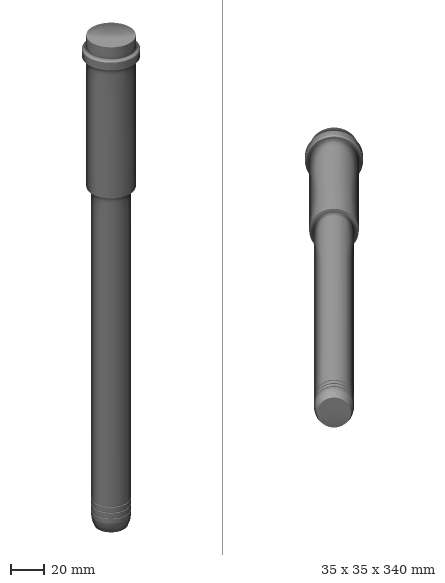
import cadquery as cq

total_length = 340.0
pin_diameter = 24.0
sleeve_diameter = 30.0
sleeve_length = 105.0
collar_diameter = 35.0
collar_offset = 8.5
collar_thickness = 6.8
collar_chamfer = 0.7
corner_fillet = 0.5
tip_diameter = 20.5
tip_height = 7.0
tip_arc_radius = 15.0
groove_width = 1.0
groove_depth = 0.5
groove_pitch = 4.0
groove_count = 3
lowest_groove_height = 10.2
edge_margin = 0.17


def cylinder(diameter, bottom, height):
    return cq.Workplane("XY").workplane(offset=bottom).circle(diameter / 2).extrude(height)


def rounded_pin():
    """Plain pin whose lower end curves in to a smaller flat face."""
    radius = pin_diameter / 2
    return (
        cq.Workplane("XZ")
        .lineTo(tip_diameter / 2, 0)
        .radiusArc((radius, tip_height), -tip_arc_radius)
        .lineTo(radius, total_length)
        .lineTo(0, total_length)
        .close()
        .revolve(360, (0, 0), (0, 1))
    )


def groove(bottom):
    """Ring of material to remove from the pin."""
    ring = cylinder(pin_diameter + groove_depth, bottom, groove_width)
    return ring.cut(cylinder(pin_diameter - 2 * groove_depth, bottom, groove_width))


def step_corner(diameter, height):
    """Select the circular edge of the given diameter at the given height."""
    reach = diameter / 2 + edge_margin
    low = (-reach, -reach, height - edge_margin)
    high = (reach, reach, height + edge_margin)
    return cq.selectors.BoxSelector(low, high, boundingbox=True)


sleeve_bottom = total_length - sleeve_length
collar_top = total_length - collar_offset
collar_bottom = collar_top - collar_thickness

sleeve = cylinder(sleeve_diameter, sleeve_bottom, sleeve_length)
collar = cylinder(collar_diameter, collar_bottom, collar_thickness)
collar = collar.edges().chamfer(collar_chamfer)

result = rounded_pin().union(sleeve).union(collar)
for diameter, height in (
    (pin_diameter, sleeve_bottom),
    (sleeve_diameter, collar_bottom),
    (sleeve_diameter, collar_top),
):
    result = result.edges(step_corner(diameter, height)).fillet(corner_fillet)

for index in range(groove_count):
    result = result.cut(groove(lowest_groove_height + index * groove_pitch))